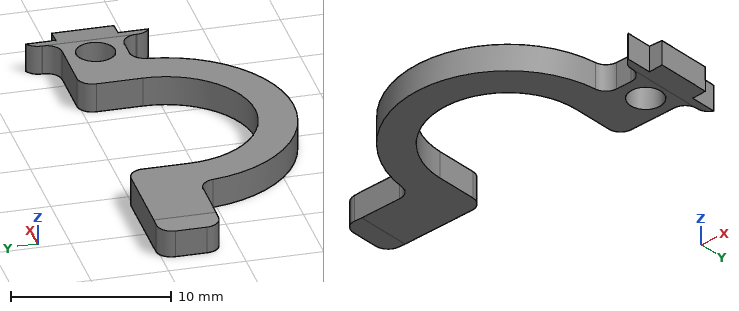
import cadquery as cq
import math

thickness = 2.0
ring_inner_radius = 5.75
ring_outer_radius = 8.22
corner_radius = 1.0

arm_bottom = 0.0
arm_width = 4.02
arm_top = arm_bottom + arm_width
arm_middle = arm_bottom + arm_width / 2
total_length = 26.95
left_end = -13.95
right_end = left_end + total_length

flange_face = 11.37
flange_thickness = 0.57
flange_back = flange_face + flange_thickness
flange_half_span = 3.95

hole_diameter = 2.5
hole_x = 9.78

left_taper_length = 1.6
left_taper_start = left_end + left_taper_length
taper_drop = 0.08


def box(x_min, x_max, y_min, y_max):
    """Full-thickness block, centred on Z = 0."""
    return (
        cq.Workplane("XY")
        .box(x_max - x_min, y_max - y_min, thickness)
        .translate(((x_min + x_max) / 2, (y_min + y_max) / 2, 0))
    )


def half_ring():
    return (
        cq.Workplane("XY", origin=(0, 0, -thickness / 2))
        .moveTo(-ring_outer_radius, arm_bottom)
        .threePointArc((0, -ring_outer_radius), (ring_outer_radius, arm_bottom))
        .lineTo(ring_inner_radius, arm_bottom)
        .threePointArc((0, -ring_inner_radius), (-ring_inner_radius, arm_bottom))
        .close()
        .extrude(thickness)
    )


def ring_root_fillet(side):
    """Web under an arm, tangent to the arm and to the outside of the ring."""
    center_y = arm_bottom - corner_radius
    center_distance = ring_outer_radius + corner_radius
    center_x = math.sqrt(center_distance**2 - center_y**2)
    touch_ratio = ring_outer_radius / center_distance
    touch_x = center_x * touch_ratio
    touch_y = center_y * touch_ratio
    end_angle = math.atan2(touch_y - center_y, touch_x - center_x)
    middle_angle = (math.pi / 2 + end_angle) / 2
    middle_x = center_x + corner_radius * math.cos(middle_angle)
    middle_y = center_y + corner_radius * math.sin(middle_angle)
    inside_x = (ring_inner_radius + ring_outer_radius) / 2
    return (
        cq.Workplane("XY", origin=(0, 0, -thickness / 2))
        .moveTo(side * center_x, arm_bottom)
        .threePointArc((side * middle_x, middle_y), (side * touch_x, touch_y))
        .lineTo(side * inside_x, touch_y)
        .lineTo(side * inside_x, arm_bottom)
        .close()
        .extrude(thickness)
    )


def left_arm():
    arm = box(left_end, -ring_inner_radius, arm_bottom, arm_top)
    arm = arm.edges("|Z and <X").fillet(corner_radius)
    return arm.edges("|Z and >X and >Y").fillet(corner_radius)


def right_arm():
    arm = box(ring_inner_radius, right_end, arm_bottom, arm_top)
    return arm.edges("|Z and <X and >Y").fillet(corner_radius)


def flange_half(side):
    """Half of the flange: concave root on the arm and a rounded tip."""
    arm_edge = arm_width / 2
    root_end = arm_edge + corner_radius
    diagonal = corner_radius * math.sqrt(0.5)
    root_middle = (flange_face - corner_radius + diagonal, root_end - diagonal)
    tip_center_x = flange_face + corner_radius
    tip_angle = math.acos((tip_center_x - flange_back) / corner_radius)
    tip_start = flange_half_span - corner_radius * math.sin(tip_angle)
    tip_middle = (
        tip_center_x - corner_radius * math.cos(tip_angle / 2),
        tip_start + corner_radius * math.sin(tip_angle / 2),
    )
    half = (
        cq.Workplane("XY", origin=(0, 0, -thickness / 2))
        .moveTo(flange_face - corner_radius, 0)
        .lineTo(flange_face - corner_radius, arm_edge)
        .threePointArc(root_middle, (flange_face, root_end))
        .lineTo(flange_face, tip_start)
        .threePointArc(tip_middle, (flange_back, flange_half_span))
        .lineTo(flange_back, 0)
        .close()
        .extrude(thickness)
    )
    if side < 0:
        half = half.mirror("XZ")
    return half.translate((0, arm_middle, 0))


def side_profile():
    """Side outline along X, thinning towards both ends."""
    full = thickness / 2
    thin = full - taper_drop
    span = 2 * (ring_outer_radius + flange_half_span)
    return (
        cq.Workplane("XZ")
        .polyline([
            (left_end, -thin),
            (left_taper_start, -full),
            (flange_face, -full),
            (right_end, -thin),
            (right_end, thin),
            (flange_face, full),
            (left_taper_start, full),
            (left_end, thin),
        ])
        .close()
        .extrude(span, both=True)
    )


body = half_ring().union(left_arm()).union(right_arm())
for side in (-1, 1):
    body = body.union(ring_root_fillet(side)).union(flange_half(side))

hole = (
    cq.Workplane("XY")
    .center(hole_x, arm_middle)
    .circle(hole_diameter / 2)
    .extrude(thickness, both=True)
)
result = body.cut(hole).intersect(side_profile())